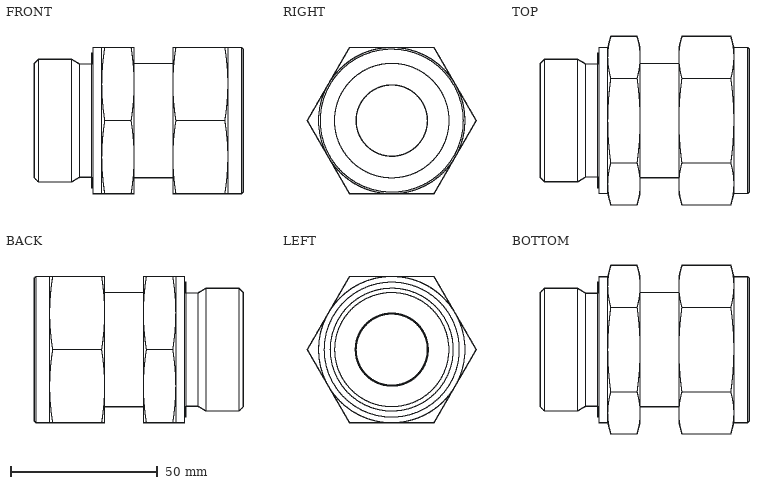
import cadquery as cq
import math

total_length = 71.4
hex_across_flats = 50.0
hex_corner_chamfer_angle = 15.0
collar_radius = hex_across_flats / 2
hex_corner_radius = collar_radius / math.cos(math.radians(30))

thread_radius = 21.0
thread_chamfer = 1.5
thread_end_x = 12.8
undercut_start_x = 15.5
undercut_radius = 19.35
seal_face_x = 19.6
seal_step = 0.4
seal_radius = 23.05
seal_recess_radius = 21.0
seal_recess_depth = 0.85
collar_start_x = seal_face_x + seal_step
body_hex_start_x = 23.05
body_hex_end_x = 34.1
neck_radius = 19.55
bore_radius = 12.15
bore_chamfer = 0.35

nut_start_x = 47.35
nut_hex_end_x = 66.1
nut_rim_chamfer = 0.6


def revolve_about_x(points):
    """Turn a closed outline of (x, radius) points into a solid about the X axis."""
    return cq.Workplane("XY").polyline(points).close().revolve(360, (0, 0, 0), (1, 0, 0))


def cylinder(start_x, end_x, radius):
    """Solid cylinder along X."""
    return cq.Workplane("YZ", origin=(start_x, 0, 0)).circle(radius).extrude(end_x - start_x)


def chamfered_hexagon(start_x, end_x):
    """Hexagonal prism along X with corners on the Y axis, cut by a cone at each end."""
    prism = (
        cq.Workplane("YZ", origin=(start_x, 0, 0))
        .polygon(6, 2 * hex_corner_radius)
        .extrude(end_x - start_x)
    )
    corner_depth = (hex_corner_radius - collar_radius) * math.tan(math.radians(hex_corner_chamfer_angle))
    envelope = revolve_about_x([
        (start_x, 0),
        (start_x, collar_radius),
        (start_x + corner_depth, hex_corner_radius),
        (end_x - corner_depth, hex_corner_radius),
        (end_x, collar_radius),
        (end_x, 0),
    ])
    return prism.intersect(envelope)


def make_body():
    front_end = revolve_about_x([
        (0, 0),
        (0, thread_radius - thread_chamfer),
        (thread_chamfer, thread_radius),
        (thread_end_x, thread_radius),
        (undercut_start_x, undercut_radius),
        (seal_face_x + seal_recess_depth, undercut_radius),
        (seal_face_x + seal_recess_depth, seal_recess_radius),
        (seal_face_x, seal_recess_radius),
        (seal_face_x, seal_radius),
        (collar_start_x, seal_radius),
        (collar_start_x, collar_radius),
        (body_hex_start_x, collar_radius),
        (body_hex_start_x, 0),
    ])
    hexagon = chamfered_hexagon(body_hex_start_x, body_hex_end_x)
    neck = cylinder(body_hex_end_x, total_length, neck_radius)
    bore = revolve_about_x([
        (0, 0),
        (0, bore_radius + bore_chamfer),
        (bore_chamfer, bore_radius),
        (total_length, bore_radius),
        (total_length, 0),
    ])
    return front_end.union(hexagon).union(neck).cut(bore)


def make_nut():
    hexagon = chamfered_hexagon(nut_start_x, nut_hex_end_x)
    rim = cylinder(nut_hex_end_x, total_length, collar_radius).faces(">X").chamfer(nut_rim_chamfer)
    neck_hole = cylinder(nut_start_x, total_length, neck_radius)
    return hexagon.union(rim).cut(neck_hole)


body = make_body()
nut = make_nut()

result = cq.Compound.makeCompound([body.val(), nut.val()])